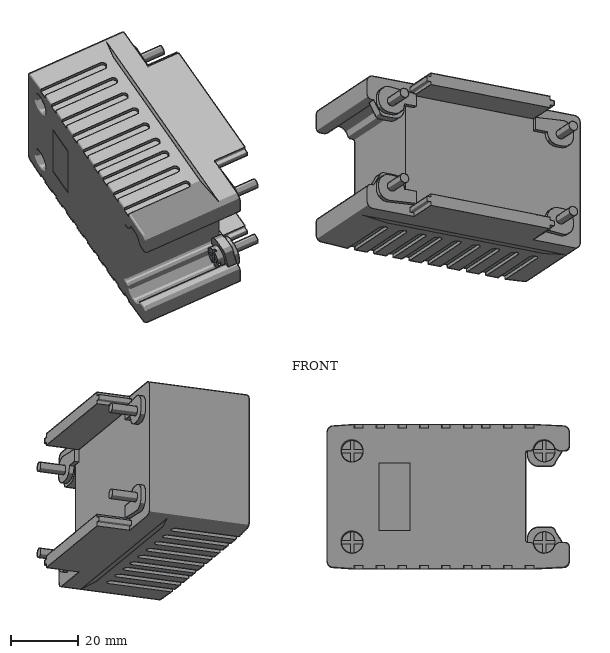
import cadquery as cq

length = 72.0
body_depth = 32.1
total_depth = 42.6
label_rise = 0.1
tongue_end = total_depth - label_rise
total_height = 43.0
pad_height = 0.4
half_height = total_height / 2 - pad_height
corner_radius = 1.95
front_round = 0.6

pad_left_foot = -length / 2 + corner_radius
pad_right_foot = length / 2 - corner_radius
pad_left = -27.9
pad_right = 25.0
pad_ramp_start = 24.6
pad_ramp_end = 25.8

groove_width = 2.6
groove_depth = 1.15
groove_end = 21.45
groove_pitch = 6.5
left_groove_start = -26.65
left_groove_count = 6
right_groove_start = 11.15
right_groove_count = 3

screw_x = 28.5
screw_z = 13.5
well_radius = 3.25
head_radius = 3.2
head_height = 2.15
cross_width = 1.0
cross_depth = 0.9
shank_radius = 1.45
shank_end = 41.55
rear_wall = 2.9
seat_y = body_depth - rear_wall

notch_x = 23.05
notch_corner_round = 0.7
well_inner_round = 1.0
well_outer_round = 2.15
tip_round = 1.45

lug_left = 23.5
lug_inner_z = 9.0
lug_radius = 3.45
lug_flat_end = 30.3
lug_slant_bottom = (31.8, 10.2)
lug_slant_top_x = 33.85

label_left = -20.5
label_right = -11.4
label_height = 20.15

tongue_half_width = 20.15
tongue_thickness = 3.7
rib_half_width = 21.5
rib_top = half_height - 1.15
rib_thickness = 1.6
rib_round = 0.2
ear_end = 33.55
ear_radius = 3.6
ear_upper_z = 14.5
ear_offset = 0.8


def along_y(y_start):
    """Sketch plane at y_start: local x is X, local y is Z, negative extrusions run toward +Y."""
    return cq.Workplane("XZ", origin=(0, y_start, 0))


def both_ends(shape):
    """The shape joined with its mirror image in Z."""
    return shape.union(shape.mirror("XY"))


def grip_pad():
    """Low pad on the top side with tapered sides and a ramp at its rear."""
    root = half_height - 2 * corner_radius
    crown = total_height / 2
    taper = (
        along_y(0)
        .polyline([
            (pad_left_foot, root), (pad_left_foot, half_height), (pad_left, crown),
            (pad_right, crown), (pad_right_foot, half_height), (pad_right_foot, root),
        ])
        .close()
        .extrude(-pad_ramp_end)
    )
    ramp = (
        cq.Workplane("YZ", origin=(-length / 2, 0, 0))
        .polyline([
            (0, root), (0, crown), (pad_ramp_start, crown),
            (pad_ramp_end, half_height), (pad_ramp_end, root),
        ])
        .close()
        .extrude(length)
    )
    return taper.intersect(ramp)


def notch():
    """Opening through the full depth at the right, widened around the two screws."""
    opening = (
        along_y(0)
        .rect(2 * (length / 2 - notch_x), 2 * screw_z)
        .extrude(-body_depth)
        .translate((length / 2, 0, 0))
    )
    channels = (
        along_y(0)
        .pushPoints([(screw_x, screw_z), (screw_x, -screw_z)])
        .circle(well_radius)
        .extrude(-body_depth)
    )
    return opening.union(channels)


def housing():
    block = (
        along_y(0)
        .rect(length, 2 * half_height)
        .extrude(-body_depth)
        .edges("|Y")
        .fillet(corner_radius)
        .union(both_ends(grip_pad()))
        .cut(notch())
    )
    notch_rounds = [
        (notch_x, notch_corner_round),
        (screw_x - well_radius, well_inner_round),
        (screw_x + well_radius, well_outer_round),
        (length / 2, tip_round),
    ]
    margin = 0.35
    for x, radius in notch_rounds:
        notch_edges = cq.selectors.BoxSelector(
            (x - margin, 0, -screw_z - margin), (x + margin, body_depth, screw_z + margin)
        )
        block = block.edges("|Y").edges(notch_edges).fillet(radius)
    wells = (
        along_y(0)
        .pushPoints([(-screw_x, screw_z), (-screw_x, -screw_z)])
        .circle(well_radius)
        .extrude(-seat_y)
    )
    return block.cut(wells).faces("<Y").edges().fillet(front_round)


def groove(x):
    """Round-ended groove in the top grip pad, open at the front."""
    radius = groove_width / 2
    straight_end = groove_end - radius
    return (
        cq.Workplane("XY", origin=(0, 0, total_height / 2 - groove_depth))
        .moveTo(x - radius, 0)
        .lineTo(x - radius, straight_end)
        .threePointArc((x, groove_end), (x + radius, straight_end))
        .lineTo(x + radius, 0)
        .close()
        .extrude(2 * groove_depth)
    )


def label_pad():
    return (
        along_y(0)
        .center((label_left + label_right) / 2, 0)
        .rect(label_right - label_left, label_height)
        .extrude(label_rise)
    )


def notch_lug():
    """Screw seat that reaches into the notch at the rear of the housing."""
    flat_start = lug_left + lug_radius
    root_z = screw_z + well_radius + front_round
    return (
        along_y(seat_y)
        .moveTo(flat_start, lug_inner_z)
        .lineTo(lug_flat_end, lug_inner_z)
        .tangentArcPoint(lug_slant_bottom, relative=False)
        .lineTo(lug_slant_top_x, screw_z)
        .lineTo(lug_slant_top_x, root_z)
        .lineTo(lug_left, root_z)
        .lineTo(lug_left, lug_inner_z + lug_radius)
        .radiusArc((flat_start, lug_inner_z), -lug_radius)
        .close()
        .extrude(-rear_wall)
    )


def screw(x):
    """Cross-slotted screw: head on its seat, shank out of the rear."""
    head_y = seat_y - head_height
    head = along_y(head_y).center(x, screw_z).circle(head_radius).extrude(-head_height)
    for size in [(2 * head_radius, cross_width), (cross_width, 2 * head_radius)]:
        head = head.cut(along_y(head_y).center(x, screw_z).rect(*size).extrude(-cross_depth))
    shank = along_y(seat_y).center(x, screw_z).circle(shank_radius).extrude(seat_y - shank_end)
    return head.union(shank)


def tongue():
    """Rear tongue flush with the top side, with a rib along each of its ends."""
    run = body_depth - tongue_end
    plate = (
        along_y(body_depth)
        .center(0, half_height - tongue_thickness / 2)
        .rect(2 * tongue_half_width, tongue_thickness)
        .extrude(run)
    )
    rib_z = rib_top - rib_thickness / 2
    ribs = along_y(body_depth).center(0, rib_z).rect(2 * rib_half_width, rib_thickness).extrude(run)
    rib_edges = cq.selectors.BoxSelector(
        (-length / 2, 0, rib_z - rib_thickness), (length / 2, total_depth, rib_top + rib_round)
    )
    return plate.union(ribs).edges("|Y").edges(rib_edges).fillet(rib_round)


def left_ear():
    """Flange beside the tongue that surrounds the left screw shank."""
    centre_x = -screw_x - ear_offset
    outer_x = centre_x - ear_radius
    inner_x = -screw_x + ear_offset
    bottom = screw_z - ear_radius
    top = ear_upper_z + ear_radius
    return (
        along_y(body_depth)
        .moveTo(inner_x, bottom)
        .lineTo(centre_x, bottom)
        .radiusArc((outer_x, screw_z), ear_radius)
        .lineTo(outer_x, ear_upper_z)
        .radiusArc((centre_x, top), ear_radius)
        .lineTo(-tongue_half_width, half_height - tongue_thickness)
        .lineTo(-tongue_half_width, screw_z)
        .lineTo(inner_x + ear_radius, screw_z)
        .radiusArc((inner_x, bottom), ear_radius)
        .close()
        .extrude(body_depth - ear_end)
    )


groove_centres = [left_groove_start + i * groove_pitch for i in range(left_groove_count)]
groove_centres += [right_groove_start + i * groove_pitch for i in range(right_groove_count)]

result = housing().union(label_pad())
for groove_x in groove_centres:
    result = result.cut(both_ends(groove(groove_x)))

ears = left_ear().union(left_ear().mirror("YZ"))
fittings = tongue().union(ears).union(notch_lug()).union(screw(-screw_x)).union(screw(screw_x))
result = result.union(both_ends(fittings))